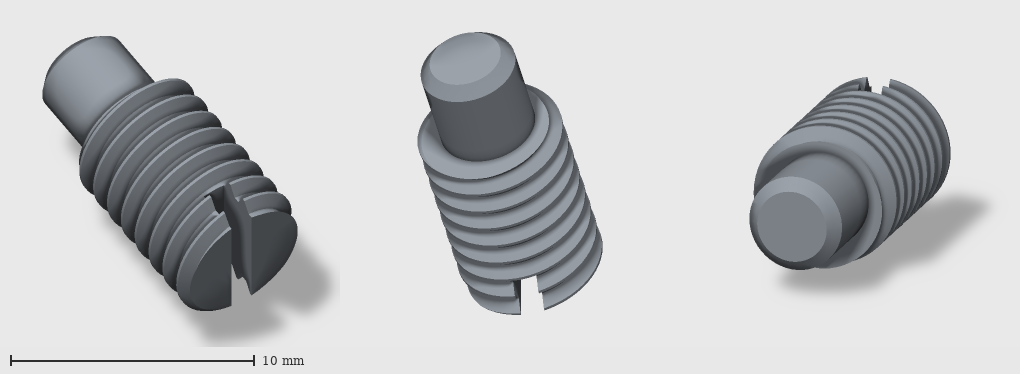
import cadquery as cq
import math

thread_diameter = 6.0
thread_pitch = 1.0
thread_length = 8.0

dog_diameter = 4.0
dog_length = 4.0
dog_chamfer = 0.5

slot_width = 1.0
slot_depth = 2.0

flank_angle = math.radians(30)
crest_width = thread_pitch / 8
root_width = thread_pitch / 4
groove_mouth_width = thread_pitch - crest_width
groove_depth = (groove_mouth_width - root_width) / 2 / math.tan(flank_angle)

overcut = 0.05

thread_radius = thread_diameter / 2
root_radius = thread_radius - groove_depth
total_length = dog_length + thread_length


def make_dog_point():
    dog = cq.Workplane("YZ").circle(dog_diameter / 2).extrude(dog_length)
    return dog.faces("<X").chamfer(dog_chamfer)


def make_thread_blank():
    return cq.Workplane("YZ", origin=(dog_length, 0, 0)).circle(thread_radius).extrude(thread_length)


def make_groove_cutter():
    """Right-hand helical groove, running out past both ends of the threaded length."""
    groove_start = groove_mouth_width / 2 - thread_pitch
    run_out_turns = 2
    helix_height = thread_length + run_out_turns * thread_pitch

    outer_radius = thread_radius + overcut
    half_root = root_width / 2
    half_outer = groove_mouth_width / 2 + overcut * math.tan(flank_angle)

    helix = cq.Wire.makeHelix(thread_pitch, helix_height, root_radius)
    profile = (
        cq.Workplane("XZ")
        .moveTo(root_radius, -half_root)
        .lineTo(outer_radius, -half_outer)
        .lineTo(outer_radius, half_outer)
        .lineTo(root_radius, half_root)
        .close()
    )
    cutter = profile.sweep(cq.Workplane(helix), isFrenet=True)
    return cutter.rotate((0, 0, 0), (0, 1, 0), 90).translate((dog_length + groove_start, 0, 0))


def make_slot_cutter():
    slot = cq.Workplane("XY").box(slot_depth, slot_width, thread_diameter)
    return slot.translate((total_length - slot_depth / 2, 0, 0))


threaded_body = make_thread_blank().cut(make_groove_cutter())
result = threaded_body.union(make_dog_point()).cut(make_slot_cutter())